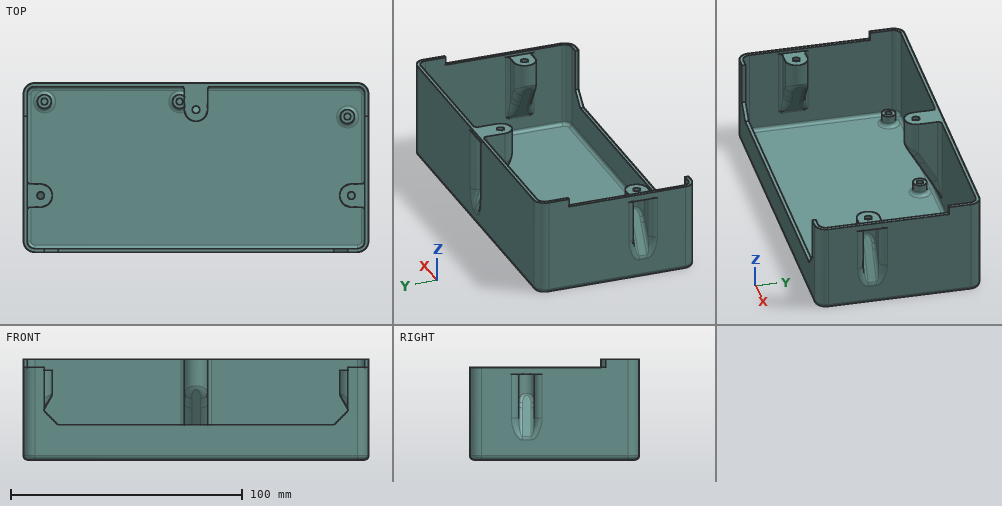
import cadquery as cq
import math

LENGTH = 149.2
WIDTH = 73.2
HEIGHT = 43.6
WALL = 1.6
CORNER_RADIUS = 5.0
BOTTOM_ROUND = 2.0
INNER_BOTTOM_ROUND = 1.6

OVERSHOOT = 1.0
EDGE_TOLERANCE = 0.01

LOW_RIM_Z = 40.0
HIGH_RIM_LENGTH = 14.5

OPENING_WIDTH = 131.2
OPENING_BOTTOM_Z = 15.2
OPENING_CHAMFER = 6.0

LUG_RADIUS = 5.0
LUG_SLOPE_DEG = 60.0
LUG_UNDERSIDE_ROUND = 3.2
LUG_ROOT_ROUND = 1.6
LUG_SCREW_DIAMETER = 3.2
SIDE_LUG_Y = -12.1
SIDE_LUG_SCREW_DEPTH = 7.5
SIDE_LUG_TOP_Z = 38.7
SIDE_LUG_MOUTH_Z = 9.6
BACK_LUG_SCREW_DEPTH = 11.6
BACK_LUG_MOUTH_Z = 5.7

STANDOFF_POSITIONS = [(-65.5, 28.5), (-7.1, 28.5), (65.4, 22.0)]
STANDOFF_DIAMETER = 6.0
STANDOFF_HOLE_DIAMETER = 2.85
STANDOFF_HEIGHT = 5.0
STANDOFF_BASE_ROUND = 1.75

LUGS = [
    ((0, WIDTH / 2), 0, BACK_LUG_SCREW_DEPTH, BACK_LUG_MOUTH_Z, HEIGHT),
    ((-LENGTH / 2, SIDE_LUG_Y), 90, SIDE_LUG_SCREW_DEPTH, SIDE_LUG_MOUTH_Z, SIDE_LUG_TOP_Z),
    ((LENGTH / 2, SIDE_LUG_Y), -90, SIDE_LUG_SCREW_DEPTH, SIDE_LUG_MOUTH_Z, SIDE_LUG_TOP_Z),
]


def rounded_block(inset, bottom_round):
    """Box body with its sides and bottom moved inward by inset."""
    return (
        cq.Workplane("XY")
        .workplane(offset=inset)
        .rect(LENGTH - 2 * inset, WIDTH - 2 * inset)
        .extrude(HEIGHT - inset)
        .edges("|Z")
        .fillet(CORNER_RADIUS - inset)
        .faces("<Z")
        .edges()
        .fillet(bottom_round)
    )


def lug_location(face_centre, turn):
    """Frame of a lug: origin on the outer wall face, -Y pointing into the box."""
    return cq.Location(cq.Vector(*face_centre, 0), cq.Vector(0, 0, 1), turn)


def lug_slope_z(mouth_z, inset):
    """Height at y = 0 of the underside plane, which lies one inset below that of the hollow."""
    return mouth_z - inset / math.cos(math.radians(LUG_SLOPE_DEG))


def below_lug_slope(inset, screw_depth, mouth_z):
    """Space under the sloped underside of a lug whose wall face is at y = -inset."""
    slope = math.radians(LUG_SLOPE_DEG)
    slope_z = lug_slope_z(mouth_z, inset)
    back_y = OVERSHOOT
    front_y = -screw_depth - LUG_RADIUS - OVERSHOOT
    half_width = LUG_RADIUS + LUG_ROOT_ROUND + 2 * OVERSHOOT
    return (
        cq.Workplane("YZ")
        .moveTo(back_y, slope_z - back_y * math.tan(slope))
        .lineTo(front_y, slope_z - front_y * math.tan(slope))
        .lineTo(front_y, -HEIGHT)
        .lineTo(back_y, -HEIGHT)
        .close()
        .extrude(half_width, both=True)
    )


def lug_hollow(screw_depth, mouth_z):
    """Upright tongue of space from the outer face, rounded at the tip and along its sloping underside."""
    radius = LUG_RADIUS - WALL
    tip = screw_depth + radius
    underside_edges = cq.selectors.BoxSelector(
        (-2 * radius, -2 * tip, -HEIGHT), (2 * radius, OVERSHOOT / 2, HEIGHT)
    )
    return (
        cq.Workplane("XY")
        .moveTo(-radius, OVERSHOOT)
        .lineTo(-radius, -screw_depth)
        .threePointArc((0, -tip), (radius, -screw_depth))
        .lineTo(radius, OVERSHOOT)
        .close()
        .extrude(HEIGHT + OVERSHOOT)
        .cut(below_lug_slope(0, screw_depth, mouth_z))
        .faces("<Z")
        .edges(underside_edges)
        .fillet(LUG_UNDERSIDE_ROUND - WALL)
    )


def lug_body(screw_depth, mouth_z):
    """Solid lug on a piece of wall, its sides flared into the wall and its underside rounded."""
    root = LUG_ROOT_ROUND
    bend = root * (1 - math.sqrt(0.5))
    face_y = -WALL
    root_x = LUG_RADIUS + root
    wall_x = root_x + OVERSHOOT
    tip = screw_depth + LUG_RADIUS
    underside_edges = cq.selectors.BoxSelector(
        (-root_x, -2 * tip, -HEIGHT), (root_x, face_y - EDGE_TOLERANCE, HEIGHT)
    )
    return (
        cq.Workplane("XY")
        .moveTo(-wall_x, 0)
        .lineTo(-wall_x, face_y)
        .lineTo(-root_x, face_y)
        .threePointArc((-LUG_RADIUS - bend, face_y - bend), (-LUG_RADIUS, face_y - root))
        .lineTo(-LUG_RADIUS, -screw_depth)
        .threePointArc((0, -tip), (LUG_RADIUS, -screw_depth))
        .lineTo(LUG_RADIUS, face_y - root)
        .threePointArc((LUG_RADIUS + bend, face_y - bend), (root_x, face_y))
        .lineTo(wall_x, face_y)
        .lineTo(wall_x, 0)
        .close()
        .extrude(HEIGHT + OVERSHOOT)
        .cut(below_lug_slope(WALL, screw_depth, mouth_z))
        .faces("<Z")
        .edges(underside_edges)
        .fillet(LUG_UNDERSIDE_ROUND)
    )


def lug_foot_blend(mouth_z):
    """Small concave blend between the sloping underside of a lug and the inner wall face below it."""
    slope = math.radians(LUG_SLOPE_DEG)
    root = LUG_ROOT_ROUND
    turn = math.pi / 2 - slope
    tangent = root * math.tan(turn / 2)
    face_y = -WALL
    foot_z = lug_slope_z(mouth_z, WALL) + WALL * math.tan(slope)
    centre_y = face_y - root
    centre_z = foot_z - tangent
    return (
        cq.Workplane("YZ")
        .moveTo(face_y, centre_z)
        .threePointArc(
            (centre_y + root * math.cos(turn / 2), centre_z + root * math.sin(turn / 2)),
            (centre_y + root * math.cos(turn), centre_z + root * math.sin(turn)),
        )
        .lineTo(face_y, foot_z + tangent)
        .close()
        .extrude(LUG_RADIUS, both=True)
    )


def round_hollow_mouth(block):
    """Round the edge where a lug's hollow opens through the outer wall face at y = 0."""
    mouth_edges = cq.selectors.BoxSelector(
        (-LUG_RADIUS, -EDGE_TOLERANCE, BOTTOM_ROUND + EDGE_TOLERANCE),
        (LUG_RADIUS, EDGE_TOLERANCE, HEIGHT),
    )
    return block.edges(mouth_edges).fillet(LUG_ROOT_ROUND + WALL)


def fold_in_lug(block, inset, face_centre, turn, screw_depth, mouth_z, top_z):
    """Press one lug into the outer block (inset 0) or into the cavity (inset WALL)."""
    place = lug_location(face_centre, turn)
    local = cq.Workplane(block.val().moved(place.inverse))
    if inset == 0:
        pressed = round_hollow_mouth(local.cut(lug_hollow(screw_depth, mouth_z)))
    else:
        pressed = local.cut(lug_body(screw_depth, mouth_z)).cut(lug_foot_blend(mouth_z))
    core_top_z = top_z - WALL + inset
    if core_top_z < HEIGHT:
        span = 2 * (LUG_RADIUS + LUG_ROOT_ROUND + OVERSHOOT)
        above_lug = (
            cq.Workplane("XY")
            .workplane(offset=core_top_z)
            .rect(span, 2 * (screw_depth + LUG_RADIUS + OVERSHOOT))
            .extrude(HEIGHT - core_top_z)
        )
        pressed = pressed.union(local.intersect(above_lug))
    return cq.Workplane(pressed.val().moved(place))


def folded_shell():
    """Thin-walled box: the outer block less the cavity, both with the lugs pressed in."""
    outside = rounded_block(0, BOTTOM_ROUND)
    cavity = rounded_block(WALL, INNER_BOTTOM_ROUND)
    for lug in LUGS:
        outside = fold_in_lug(outside, 0, *lug)
        cavity = fold_in_lug(cavity, WALL, *lug)
    return outside.cut(cavity)


def rim_step():
    """Space above the low rim of the side and front walls, clear of the back lug."""
    depth = WIDTH - HIGH_RIM_LENGTH
    front_y = -WIDTH / 2
    over_front = cq.Workplane("XY", origin=(0, front_y + depth / 2, LOW_RIM_Z)).rect(LENGTH, depth)
    inside = cq.Workplane("XY", origin=(0, front_y + CORNER_RADIUS + depth / 2, LOW_RIM_Z)).rect(
        LENGTH - 2 * CORNER_RADIUS, depth
    )
    return over_front.extrude(HEIGHT - LOW_RIM_Z).cut(inside.extrude(HEIGHT - LOW_RIM_Z))


def front_opening():
    """Opening through the front wall from the rim down."""
    half = OPENING_WIDTH / 2
    profile = [
        (-half, HEIGHT),
        (-half, OPENING_BOTTOM_Z + OPENING_CHAMFER),
        (-half + OPENING_CHAMFER, OPENING_BOTTOM_Z),
        (half - OPENING_CHAMFER, OPENING_BOTTOM_Z),
        (half, OPENING_BOTTOM_Z + OPENING_CHAMFER),
        (half, HEIGHT),
    ]
    return (
        cq.Workplane("XZ", origin=(0, -WIDTH / 2 + 2 * WALL, 0))
        .polyline(profile)
        .close()
        .extrude(3 * WALL)
    )


def lug_screw_hole(face_centre, turn, screw_depth, top_z):
    """Screw hole through the roof of a lug into its hollow."""
    hole = (
        cq.Workplane("XY", origin=(0, -screw_depth, top_z - 2 * WALL))
        .circle(LUG_SCREW_DIAMETER / 2)
        .extrude(3 * WALL)
    )
    return cq.Workplane(hole.val().moved(lug_location(face_centre, turn)))


def standoff(x, y):
    """Blind-holed post on the floor with a flared base."""
    radius = STANDOFF_DIAMETER / 2
    hole_radius = STANDOFF_HOLE_DIAMETER / 2
    flare = STANDOFF_BASE_ROUND
    bend = flare * (1 - math.sqrt(0.5))
    profile = (
        cq.Workplane("XZ")
        .moveTo(hole_radius, 0)
        .lineTo(radius + flare, 0)
        .threePointArc((radius + bend, bend), (radius, flare))
        .lineTo(radius, STANDOFF_HEIGHT)
        .lineTo(hole_radius, STANDOFF_HEIGHT)
        .close()
    )
    return profile.revolve(360, (0, 0, 0), (0, 1, 0)).translate((x, y, WALL))


result = folded_shell().cut(rim_step()).cut(front_opening())
for face_centre, turn, screw_depth, mouth_z, top_z in LUGS:
    result = result.cut(lug_screw_hole(face_centre, turn, screw_depth, top_z))
for x, y in STANDOFF_POSITIONS:
    result = result.union(standoff(x, y))